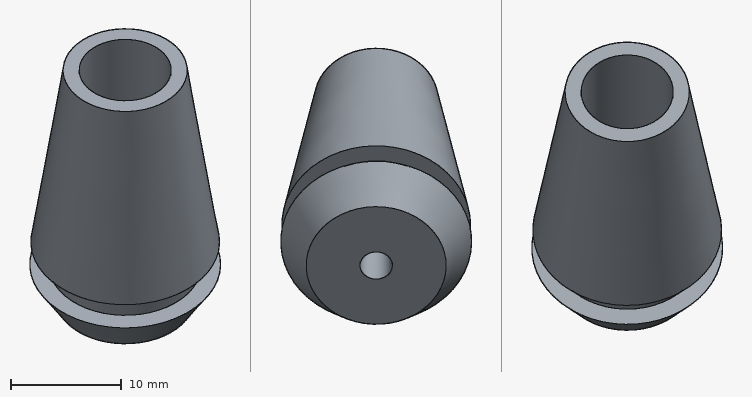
import cadquery as cq
import math

height = 27.5
flange_diameter = 17.25
flange_height = 4.0
flange_angle = 30.0

groove_width = 2.72
groove_diameter = 13.83
taper_bottom = flange_height + groove_width

taper_base_diameter = 17.05
taper_angle = 8.0

socket_diameter = 8.3
through_diameter = 2.92
floor_thickness = taper_bottom


def cone_shrink(length, angle):
    """Radius lost along a cone of the given length and half angle."""
    return length * math.tan(math.radians(angle))


def make_body():
    """Revolve the outer profile around Z."""
    flange_radius = flange_diameter / 2
    groove_radius = groove_diameter / 2
    taper_radius = taper_base_diameter / 2
    base_radius = flange_radius - cone_shrink(flange_height, flange_angle)
    top_radius = taper_radius - cone_shrink(height - taper_bottom, taper_angle)
    profile = [
        (0, 0),
        (base_radius, 0),
        (flange_radius, flange_height),
        (groove_radius, flange_height),
        (groove_radius, taper_bottom),
        (taper_radius, taper_bottom),
        (top_radius, height),
        (0, height),
    ]
    return cq.Workplane("XZ").polyline(profile).close().revolve(360, (0, 0), (0, 1))


def make_bore():
    """Small through hole joined to the wide socket above the floor."""
    through_hole = cq.Workplane("XY").circle(through_diameter / 2).extrude(height)
    socket = (
        cq.Workplane("XY")
        .workplane(offset=floor_thickness)
        .circle(socket_diameter / 2)
        .extrude(height - floor_thickness)
    )
    return through_hole.union(socket)


result = make_body().cut(make_bore())